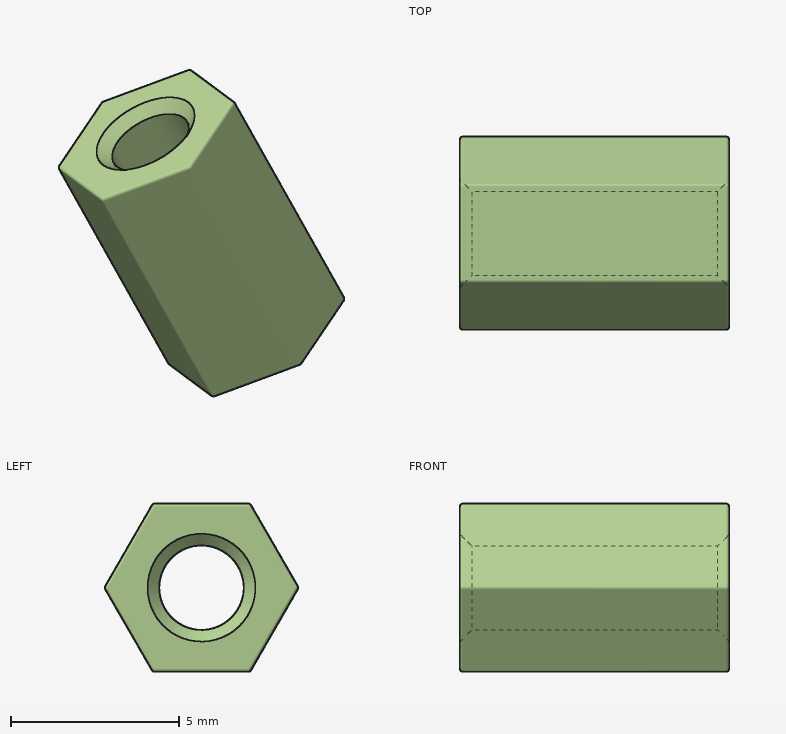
import cadquery as cq
import math

length = 8.0
across_flats = 5.0
edge_radius = 0.1

bore_diameter = 2.5
countersink_diameter = 3.2
countersink_depth = (countersink_diameter - bore_diameter) / 2

across_corners = across_flats / math.cos(math.pi / 6)


def hex_body():
    """Hexagonal bar centred on the origin, with every outer edge rounded."""
    bar = cq.Workplane("YZ").polygon(6, across_corners).extrude(length / 2, both=True)
    return bar.edges().fillet(edge_radius)


def countersunk_bore():
    """Solid of revolution about X that cuts the bore and both countersinks."""
    half_length = length / 2
    bore_radius = bore_diameter / 2
    countersink_radius = countersink_diameter / 2
    bore_end = half_length - countersink_depth
    half_section = (
        cq.Workplane("XY")
        .moveTo(-half_length, 0)
        .lineTo(-half_length, countersink_radius)
        .lineTo(-bore_end, bore_radius)
        .lineTo(bore_end, bore_radius)
        .lineTo(half_length, countersink_radius)
        .lineTo(half_length, 0)
        .close()
    )
    return half_section.revolve(360, (0, 0, 0), (1, 0, 0))


result = hex_body().cut(countersunk_bore())